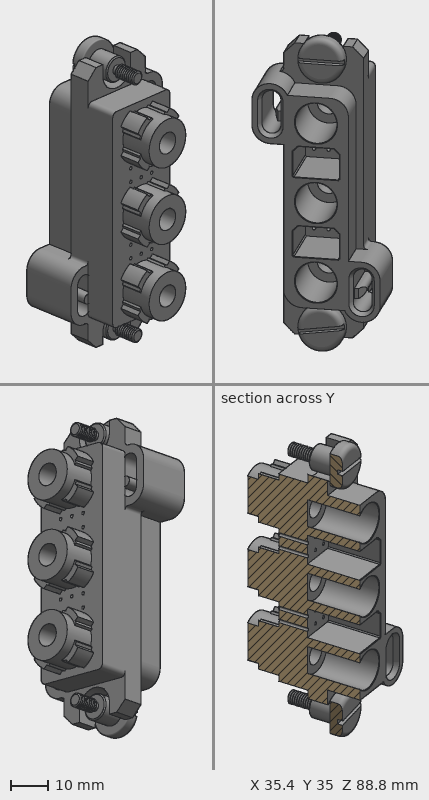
import cadquery as cq
import math

OVERALL_LENGTH = 88.8
OVERALL_DEPTH = 35.4

BLOCK_DEPTH = 10.1
BLOCK_WIDTH = 17.7
BLOCK_HEIGHT = 59.9
BLOCK_CORNER_RADIUS = 5.0
FLANGE_DEPTH = 6.4
FLANGE_WIDTH = 21.85
FLANGE_HEIGHT = 82.6
FLANGE_CHAMFER = 3.0
BASE_DEPTH = 9.15
BASE_HEIGHT = 63.8
BASE_CORNER_RADIUS = 1.5

X_FRONT = -OVERALL_DEPTH / 2
X_FLANGE = X_FRONT + BLOCK_DEPTH
X_BASE = X_FLANGE + FLANGE_DEPTH
X_STUB = X_BASE + BASE_DEPTH
STUB_LENGTH = OVERALL_DEPTH / 2 - X_STUB

EAR_Y = 12.4
EAR_Z = 24.4
EAR_RADIUS = 5.1
EAR_STRAIGHT = 6.9
EAR_SLOT_RADIUS = 2.6
EAR_MOUTH_WIDENING = 0.9
EAR_MOUTH_DEPTH = 1.5
EAR_BLEND_RADIUS = 1.0

NUB_RADIUS = 1.4
NUB_Z_OFFSET = -1.5
NUB_SETBACK = 2.9
NUB_FLAT_WIDTH = 1.15
NUB_SLOPE_LENGTH = 4.0

PITCH = 11.3
CAVITY_DEPTH = BLOCK_DEPTH + FLANGE_DEPTH
CAVITY_LEAD_IN = 0.2
BORE_MOUTH_RADIUS = 5.9
CONTACT_HOLE_RADIUS = 3.1
STUB_RADIUS = 7.0
KEY_LENGTH = 6.4
KEY_STEPS = ((7.6, 3.3), (8.9, 2.5))
KEY_COUNT = 4
FIRST_KEY_ANGLE = 45.0
POCKET_WIDTH = 13.05
POCKET_HEIGHT = 9.1
POCKET_TOP_CHAMFER = 1.6
POCKET_BOTTOM_CHAMFER = 0.4
PIN_PITCH = 4.0
PIN_HOLE_RADIUS = 0.4
PIN_COLUMNS = 3
PIN_ROWS = 2

HEAD_RADIUS = 6.4
HEAD_DEPTH = 4.1
HEAD_ROUNDING = 1.5
HEAD_BACK_ROUNDING = 0.35
HEAD_FACE_FROM_FLANGE = 4.6
SCREW_Z = OVERALL_LENGTH / 2 - HEAD_RADIUS
SCREW_SLOT_WIDTH = 1.2
SCREW_SLOT_DEPTH = 1.5
LOWER_SCREW_ANGLE = -9.0
SHOULDER_RADIUS = 3.7
SHOULDER_LENGTH = 6.8
SHOULDER_CHAMFER = 0.35
NECK_RADIUS = 1.3
NECK_LENGTH = 1.1
THREAD_RADIUS = 1.95
THREAD_ROOT_RADIUS = 1.5
THREAD_PITCH = 0.68
THREAD_TURNS = 10
SCREW_NOTCH_RADIUS = 5.3


def layer(x, depth, width, height):
    """Rectangular layer centred on the X axis, starting at x."""
    return cq.Workplane("YZ", origin=(x, 0, 0)).rect(width, height).extrude(depth)


def upright_slot(x, y, z, radius):
    """Sketch an obround standing along Z, with the ear's straight length."""
    sketch = cq.Workplane("YZ", origin=(x, y, z))
    return sketch.slot2D(EAR_STRAIGHT + 2 * radius, 2 * radius, 90)


def make_block():
    """Front block with two opposite corners rounded; the other two carry the ears."""
    block = layer(X_FRONT, BLOCK_DEPTH, BLOCK_WIDTH, BLOCK_HEIGHT)
    half_w, half_h = BLOCK_WIDTH / 2, BLOCK_HEIGHT / 2
    x_mid = X_FRONT + BLOCK_DEPTH / 2
    for side in (1, -1):
        corner = (x_mid, -side * half_w, side * half_h)
        block = block.edges(cq.selectors.NearestToPointSelector(corner)).fillet(BLOCK_CORNER_RADIUS)
    return block


def make_flange():
    flange = layer(X_FLANGE, FLANGE_DEPTH, FLANGE_WIDTH, FLANGE_HEIGHT)
    return flange.edges("|X").chamfer(FLANGE_CHAMFER)


def make_base():
    base = layer(X_BASE, BASE_DEPTH, FLANGE_WIDTH, BASE_HEIGHT)
    return base.edges("|X").fillet(BASE_CORNER_RADIUS)


def ear_blend(z_ear, direction):
    """Concave blend between the flange side and the ear end at z_ear, pointing up (1) or down (-1)."""
    y_side = FLANGE_WIDTH / 2
    r = EAR_BLEND_RADIUS
    mid = r * (1 - math.sqrt(0.5))
    return (
        cq.Workplane("YZ", origin=(X_FLANGE, 0, 0))
        .moveTo(y_side, z_ear + direction * r)
        .threePointArc((y_side + mid, z_ear + direction * mid), (y_side + r, z_ear))
        .lineTo(y_side + r, z_ear - direction * r)
        .lineTo(y_side - r, z_ear - direction * r)
        .lineTo(y_side - r, z_ear + direction * r)
        .close()
        .extrude(FLANGE_DEPTH)
    )


def make_ear():
    """Upper ear on the +Y side, with the web that joins it to the block."""
    ear = upright_slot(X_FRONT, EAR_Y, EAR_Z, EAR_RADIUS).extrude(CAVITY_DEPTH)
    ear_half = EAR_STRAIGHT / 2 + EAR_RADIUS
    z_bottom = EAR_Z - ear_half
    web_height = BLOCK_HEIGHT / 2 - BLOCK_CORNER_RADIUS - z_bottom
    web = (
        cq.Workplane("YZ", origin=(X_FRONT, 0, z_bottom))
        .rect(EAR_Y, web_height, centered=False)
        .extrude(CAVITY_DEPTH)
    )
    ear = ear.union(web)
    ear = ear.union(ear_blend(EAR_Z + ear_half, 1))
    return ear.union(ear_blend(z_bottom, -1))


def make_ear_opening():
    """Through slot of the upper ear with its flared mouth."""
    slot = upright_slot(X_FRONT, EAR_Y, EAR_Z, EAR_SLOT_RADIUS).extrude(CAVITY_DEPTH)
    flare_angle = math.degrees(math.atan2(EAR_MOUTH_WIDENING, EAR_MOUTH_DEPTH))
    mouth_radius = EAR_SLOT_RADIUS + EAR_MOUTH_WIDENING
    mouth = upright_slot(X_FRONT, EAR_Y, EAR_Z, mouth_radius).extrude(EAR_MOUTH_DEPTH, taper=flare_angle)
    return slot.union(mouth)


def make_nub(side):
    """Latch nub in the ear slot on the +Y (1) or -Y (-1) side, running back to the base."""
    y_wall = EAR_Y - EAR_SLOT_RADIUS
    y_flat = y_wall + NUB_FLAT_WIDTH
    y_tip = y_flat + NUB_RADIUS
    x_nose = X_FRONT + NUB_SETBACK
    z_nub = side * EAR_Z + NUB_Z_OFFSET
    body = (
        cq.Workplane("YZ", origin=(x_nose, 0, z_nub))
        .moveTo(side * (y_wall - NUB_FLAT_WIDTH), -NUB_RADIUS)
        .lineTo(side * y_flat, -NUB_RADIUS)
        .threePointArc((side * y_tip, 0), (side * y_flat, NUB_RADIUS))
        .lineTo(side * (y_wall - NUB_FLAT_WIDTH), NUB_RADIUS)
        .close()
        .extrude(X_BASE - x_nose)
    )
    nose_cut = (
        cq.Workplane("XY", origin=(0, 0, z_nub))
        .moveTo(x_nose, side * y_flat)
        .lineTo(x_nose + NUB_SLOPE_LENGTH, side * y_tip)
        .lineTo(x_nose, side * y_tip)
        .close()
        .extrude(NUB_RADIUS, both=True)
    )
    return body.cut(nose_cut)


def make_stub(z):
    """Round contact stub with four stepped bayonet keys."""
    stub = cq.Workplane("YZ", origin=(X_STUB, 0, z)).circle(STUB_RADIUS).extrude(STUB_LENGTH)
    for radius, half_width in KEY_STEPS:
        disc = cq.Workplane("YZ", origin=(X_STUB, 0, z)).circle(radius).extrude(KEY_LENGTH)
        for i in range(KEY_COUNT):
            angle = FIRST_KEY_ANGLE + i * 360 / KEY_COUNT
            bar = (
                cq.Workplane("YZ", origin=(X_STUB, 0, z))
                .transformed(rotate=(0, 0, angle))
                .rect(radius, 2 * half_width, centered=(False, True))
                .extrude(KEY_LENGTH)
            )
            stub = stub.union(bar.intersect(disc))
    return stub


def make_contact_bore(z):
    """Chamfered front bore and the smaller hole that runs out through the stub."""
    face = cq.Workplane("YZ", origin=(X_FRONT, 0, z))
    lead_in = face.circle(BORE_MOUTH_RADIUS).extrude(CAVITY_LEAD_IN, taper=45)
    bore = face.circle(BORE_MOUTH_RADIUS - CAVITY_LEAD_IN).extrude(CAVITY_DEPTH).union(lead_in)
    hole = cq.Workplane("YZ", origin=(X_FRONT, 0, z)).circle(CONTACT_HOLE_RADIUS).extrude(OVERALL_DEPTH)
    return bore.union(hole)


def pocket_outline(z):
    """Pocket mouth outline with large chamfers on the top corners as a polarity key."""
    half_w, half_h = POCKET_WIDTH / 2, POCKET_HEIGHT / 2
    top, bottom = POCKET_TOP_CHAMFER, POCKET_BOTTOM_CHAMFER
    return (
        cq.Workplane("YZ", origin=(X_FRONT, 0, z))
        .polyline([
            (half_w, half_h - top), (half_w - top, half_h),
            (top - half_w, half_h), (-half_w, half_h - top),
            (-half_w, bottom - half_h), (bottom - half_w, -half_h),
            (half_w - bottom, -half_h), (half_w, bottom - half_h),
        ])
        .close()
    )


def make_pin_pocket(z):
    """Chamfered pocket with a grid of through holes for pins."""
    lead_in = pocket_outline(z).extrude(CAVITY_LEAD_IN, taper=45)
    pocket = pocket_outline(z).offset2D(-CAVITY_LEAD_IN).extrude(CAVITY_DEPTH).union(lead_in)
    holes = (
        cq.Workplane("YZ", origin=(X_FRONT, 0, z))
        .rarray(PIN_PITCH, PIN_PITCH, PIN_COLUMNS, PIN_ROWS)
        .circle(PIN_HOLE_RADIUS)
        .extrude(OVERALL_DEPTH)
    )
    return pocket.union(holes)


def make_screw_notch(side):
    """U-shaped notch in the flange end, open toward the outside."""
    notch_height = OVERALL_LENGTH / 2 - SCREW_Z
    notch = cq.Workplane("YZ", origin=(X_FLANGE, 0, side * SCREW_Z))
    round_end = notch.circle(SCREW_NOTCH_RADIUS).extrude(FLANGE_DEPTH)
    open_end = (
        notch.center(0, side * notch_height / 2)
        .rect(2 * SCREW_NOTCH_RADIUS, notch_height)
        .extrude(FLANGE_DEPTH)
    )
    return round_end.union(open_end)


def half_turn(shape):
    """The same shape on the opposite ear: turned 180 degrees about the X axis."""
    return shape.rotate((0, 0, 0), (1, 0, 0), 180)


def make_housing():
    housing = make_block().union(make_flange())
    for side in (1, -1):
        housing = housing.cut(make_screw_notch(side))

    ear, opening = make_ear(), make_ear_opening()
    housing = housing.union(ear).union(half_turn(ear))
    housing = housing.cut(opening).cut(half_turn(opening))
    housing = housing.union(make_base())
    for side in (1, -1):
        housing = housing.union(make_nub(side))

    for row in (-2, 0, 2):
        housing = housing.union(make_stub(row * PITCH)).cut(make_contact_bore(row * PITCH))
    for row in (-1, 1):
        housing = housing.cut(make_pin_pocket(row * PITCH))
    return housing


def make_screw(side, turn_angle):
    """Slotted shoulder screw at the upper (1) or lower (-1) end, turned about its own axis."""
    x_head = X_FLANGE - HEAD_FACE_FROM_FLANGE
    x_shoulder = x_head + HEAD_DEPTH
    x_neck = x_shoulder + SHOULDER_LENGTH
    x_thread = x_neck + NECK_LENGTH

    head = cq.Workplane("YZ", origin=(x_head, 0, 0)).circle(HEAD_RADIUS).extrude(HEAD_DEPTH)
    head = head.faces("<X").edges().fillet(HEAD_ROUNDING)
    head = head.faces(">X").edges().fillet(HEAD_BACK_ROUNDING)
    slot = cq.Workplane("YZ", origin=(x_head, 0, 0)).rect(2 * HEAD_RADIUS, SCREW_SLOT_WIDTH)
    head = head.cut(slot.extrude(SCREW_SLOT_DEPTH))

    shoulder = cq.Workplane("YZ", origin=(x_shoulder, 0, 0)).circle(SHOULDER_RADIUS).extrude(SHOULDER_LENGTH)
    shoulder = shoulder.faces(">X").edges().chamfer(SHOULDER_CHAMFER)
    neck = cq.Workplane("YZ", origin=(x_neck, 0, 0)).circle(NECK_RADIUS).extrude(NECK_LENGTH)

    thread_profile = [(x_thread, 0), (x_thread, THREAD_ROOT_RADIUS)]
    for i in range(THREAD_TURNS):
        x_turn = x_thread + i * THREAD_PITCH
        thread_profile.append((x_turn + THREAD_PITCH / 2, THREAD_RADIUS))
        thread_profile.append((x_turn + THREAD_PITCH, THREAD_ROOT_RADIUS))
    thread_profile.append((x_thread + THREAD_TURNS * THREAD_PITCH, 0))
    thread = cq.Workplane("XY").polyline(thread_profile).close().revolve(360, (0, 0, 0), (1, 0, 0))

    screw = head.union(shoulder).union(neck).union(thread)
    return screw.rotate((0, 0, 0), (1, 0, 0), turn_angle).translate((0, 0, side * SCREW_Z))


housing = make_housing()
screws = [make_screw(side, angle) for side, angle in ((1, 0), (-1, LOWER_SCREW_ANGLE))]

result = cq.Compound.makeCompound([housing.val(), *[screw.val() for screw in screws]])